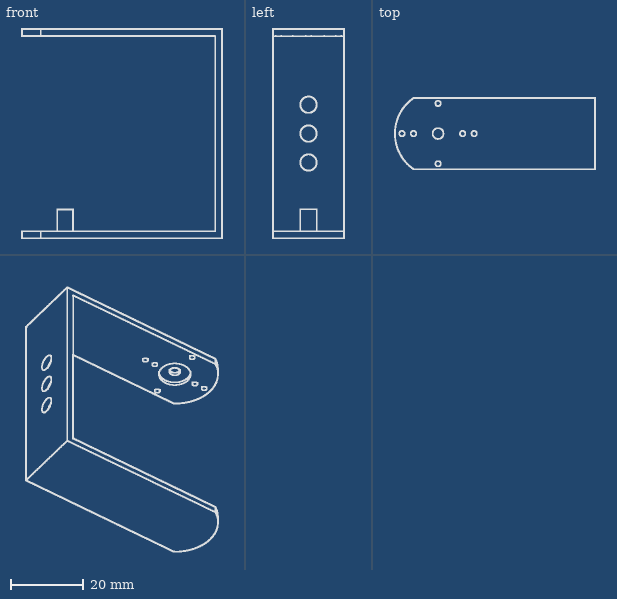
import cadquery as cq
import math

LENGTH = 55.52
WIDTH = 19.8
HEIGHT = 58.0
THICKNESS = 2.0

TIP_RADIUS = 12.0

PIVOT_HOLE_DIAMETER = 3.0
PIVOT_RECESS_DIAMETER = 8.8
PIVOT_RECESS_DEPTH = 1.0
SCREW_HOLE_DIAMETER = 1.5
INNER_SCREW_OFFSET = 6.8
OUTER_SCREW_OFFSET = 10.0
SIDE_SCREW_OFFSET = 8.35

PIN_DIAMETER = 4.46
PIN_HEIGHT = 6.0

WALL_HOLE_DIAMETER = 4.46
WALL_HOLE_SPACING = 8.0
WALL_HOLE_COUNT = 3

BACK_X = LENGTH - TIP_RADIUS


def make_arm(bottom_z):
    """Flat arm whose free end is rounded about the pivot axis."""
    half_width = WIDTH / 2
    tip_corner_x = -math.sqrt(TIP_RADIUS**2 - half_width**2)
    return (
        cq.Workplane("XY", origin=(0, 0, bottom_z))
        .moveTo(BACK_X, -half_width)
        .lineTo(BACK_X, half_width)
        .lineTo(tip_corner_x, half_width)
        .threePointArc((-TIP_RADIUS, 0), (tip_corner_x, -half_width))
        .close()
        .extrude(THICKNESS)
    )


def make_back_wall():
    """Upright wall joining the two arms."""
    return (
        cq.Workplane("XY")
        .box(THICKNESS, WIDTH, HEIGHT, centered=(False, True, False))
        .translate((BACK_X - THICKNESS, 0, 0))
    )


def make_pivot_pin():
    """Pin standing on the lower arm."""
    return cq.Workplane("XY").circle(PIN_DIAMETER / 2).extrude(THICKNESS + PIN_HEIGHT)


def make_upper_arm_holes():
    """Cutters for the pivot hole, its underside recess and the screw holes around it."""
    screw_points = [
        (side * offset, 0)
        for side in (-1, 1)
        for offset in (INNER_SCREW_OFFSET, OUTER_SCREW_OFFSET)
    ]
    screw_points += [(0, side * SIDE_SCREW_OFFSET) for side in (-1, 1)]
    arm_underside = cq.Workplane("XY").workplane(offset=HEIGHT - THICKNESS)
    pivot_hole = arm_underside.circle(PIVOT_HOLE_DIAMETER / 2).extrude(THICKNESS)
    pivot_recess = arm_underside.circle(PIVOT_RECESS_DIAMETER / 2).extrude(PIVOT_RECESS_DEPTH)
    screw_holes = (
        arm_underside.pushPoints(screw_points)
        .circle(SCREW_HOLE_DIAMETER / 2)
        .extrude(THICKNESS)
    )
    return pivot_hole.union(pivot_recess).union(screw_holes)


def make_wall_holes():
    """Cutters for the vertical row of holes centred on the back wall."""
    return (
        cq.Workplane("YZ", origin=(BACK_X - THICKNESS, 0, HEIGHT / 2))
        .rarray(1, WALL_HOLE_SPACING, 1, WALL_HOLE_COUNT)
        .circle(WALL_HOLE_DIAMETER / 2)
        .extrude(THICKNESS)
    )


lower_arm = make_arm(0)
upper_arm = make_arm(HEIGHT - THICKNESS)
bracket = make_back_wall().union(lower_arm).union(upper_arm).union(make_pivot_pin())
result = bracket.cut(make_upper_arm_holes()).cut(make_wall_holes())